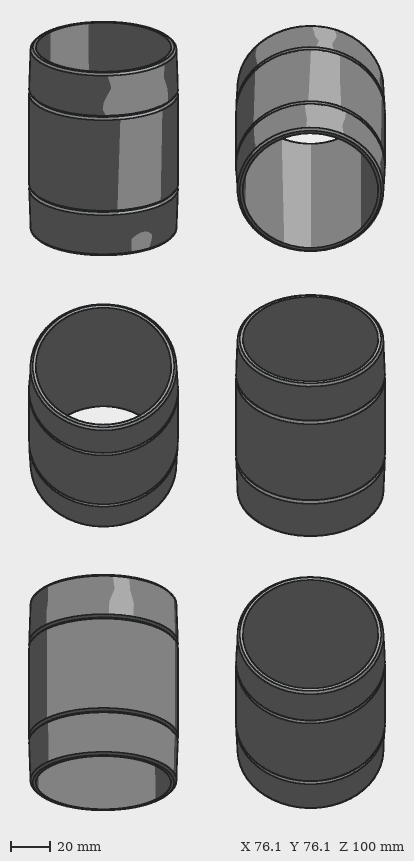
import cadquery as cq

length = 100.0
outer_diameter = 76.1
outer_radius = outer_diameter / 2
bore_radius = 34.5

end_radius = 37.3
rim_chamfer = 1.2

groove_center_from_end = 24.0
groove_width = 2.5
groove_depth = groove_width / 2

groove_center = length / 2 - groove_center_from_end
groove_inner_edge = groove_center - groove_width / 2
groove_outer_edge = groove_center + groove_width / 2

upper_profile = [
    (outer_radius, groove_inner_edge),
    (outer_radius - groove_depth, groove_center),
    (outer_radius, groove_outer_edge),
    (end_radius, length / 2 - rim_chamfer),
    (end_radius - rim_chamfer, length / 2),
]
lower_profile = [(radius, -height) for radius, height in reversed(upper_profile)]
bore_profile = [(bore_radius, length / 2), (bore_radius, -length / 2)]

result = (
    cq.Workplane("XZ")
    .polyline(lower_profile + upper_profile + bore_profile)
    .close()
    .revolve(360, (0, 0, 0), (0, 1, 0))
)